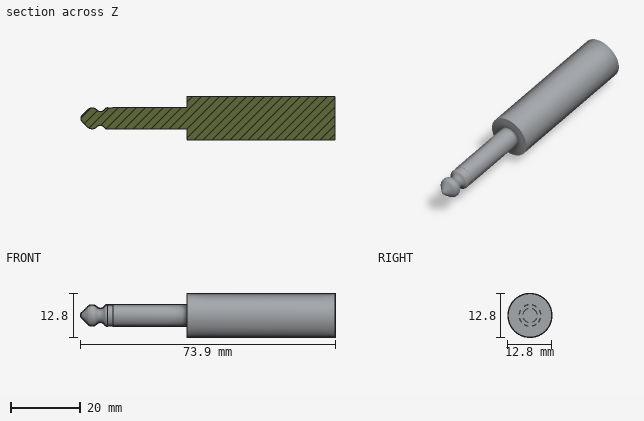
import cadquery as cq
import math


overall_length = 73.9
barrel_radius = 6.39
barrel_length = 43.1
shaft_radius = 3.2
barrel_start = overall_length - barrel_length

nose_radius = 1.1
cone_half_angle = math.radians(45)
cone_end_x = 2.3

bulb_crest_x = 3.55
bulb_radius = 3.1
bulb_end_x = 4.7

waist_x = 5.8
waist_radius = 2.1
shoulder_x = 7.8
shoulder_round = 1.0

ring_radius = 3.1
ring_end_x = 9.4

nose_end_x = nose_radius * (1 - math.sin(cone_half_angle))
nose_end_radius = nose_radius * math.cos(cone_half_angle)

nose_mid_angle = (math.pi / 2 + cone_half_angle) / 2
nose_mid_x = nose_radius * (1 - math.sin(nose_mid_angle))
nose_mid_radius = nose_radius * math.cos(nose_mid_angle)

cone_end_radius = nose_end_radius + (cone_end_x - nose_end_x) * math.tan(cone_half_angle)

waist_run = shoulder_x - waist_x
waist_rise = shaft_radius - waist_radius
arc_radius_sum = (waist_run**2 + waist_rise**2) / (2 * waist_rise)
waist_round = arc_radius_sum - shoulder_round
waist_share = waist_round / arc_radius_sum
meeting_x = waist_x + waist_run * waist_share
meeting_radius = waist_radius + waist_rise * waist_share

waist_center_radius = waist_radius + waist_round
bulb_end_radius = waist_center_radius - math.sqrt(waist_round**2 - (waist_x - bulb_end_x) ** 2)

profile = (
    cq.Workplane("XY")
    .moveTo(0, 0)
    .threePointArc((nose_mid_x, nose_mid_radius), (nose_end_x, nose_end_radius))
    .lineTo(cone_end_x, cone_end_radius)
    .threePointArc((bulb_crest_x, bulb_radius), (bulb_end_x, bulb_end_radius))
    .threePointArc((waist_x, waist_radius), (meeting_x, meeting_radius))
    .tangentArcPoint((shoulder_x, shaft_radius), relative=False)
    .lineTo(shoulder_x, ring_radius)
    .lineTo(ring_end_x, ring_radius)
    .lineTo(ring_end_x, shaft_radius)
    .lineTo(barrel_start, shaft_radius)
    .lineTo(barrel_start, barrel_radius)
    .lineTo(overall_length, barrel_radius)
    .lineTo(overall_length, 0)
    .close()
)

result = profile.revolve(360, (0, 0, 0), (1, 0, 0))